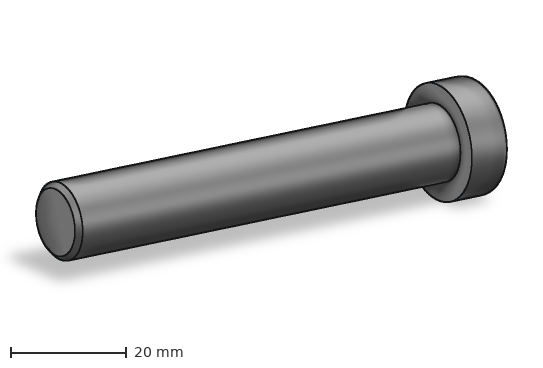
import cadquery as cq

total_length = 88
head_diameter = 21.0
head_length = 8.0
shank_diameter = 14.0
head_edge_radius = 1.4
tip_chamfer = 1.0

head_outer_y = total_length / 2
tip_y = -total_length / 2
head_inner_y = head_outer_y - head_length


def cylinder_along_y(diameter, start_y, end_y):
    """Solid cylinder on the Y axis between two Y positions."""
    start_plane = cq.Plane(origin=(0, start_y, 0), xDir=(1, 0, 0), normal=(0, 1, 0))
    return cq.Workplane(start_plane).circle(diameter / 2).extrude(end_y - start_y)


head = cylinder_along_y(head_diameter, head_inner_y, head_outer_y)
head = head.faces(">Y").edges().fillet(head_edge_radius)

shank = cylinder_along_y(shank_diameter, tip_y, head_inner_y)
shank = shank.faces("<Y").edges().chamfer(tip_chamfer)

result = head.union(shank)